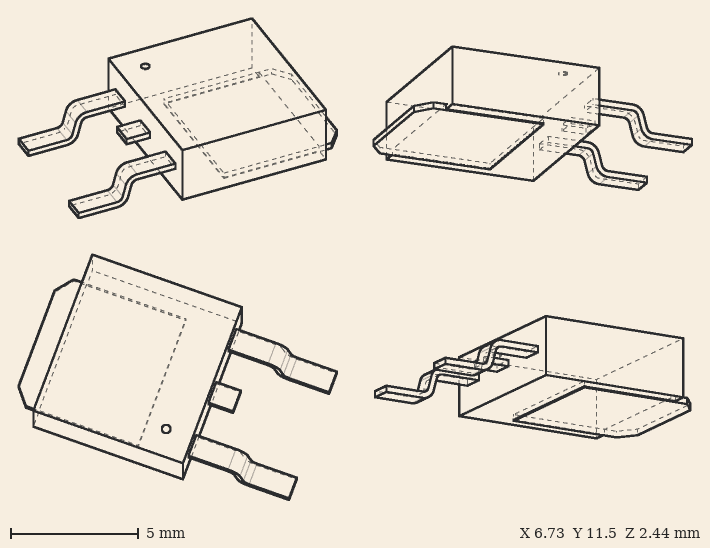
import cadquery as cq
import math

housing_width = 6.73
housing_length = 6.22
housing_height = 2.40
front_y = -housing_length / 2
back_y = housing_length / 2

metal_thickness = 0.254
lead_width = 0.89
lead_spacing = 4.57
lead_centres = (-lead_spacing / 2, lead_spacing / 2)

lead_reach = 4.18
shank_length = 1.65
lead_drop = 1.08
riser_angle = math.radians(75)
inner_bend_radius = metal_thickness
outer_bend_radius = inner_bend_radius + metal_thickness

stub_reach = 1.02

tab_width = lead_spacing + lead_width
tab_length = 5.21
tab_overhang = 1.09
tab_standoff = 0.04
tab_corner_x = 0.68
tab_corner_y = 0.55

marker_diameter = 0.34
marker_depth = 0.05
marker_from_front = 1.09


def make_tab():
    tab_back_y = back_y + tab_overhang
    return (
        cq.Workplane("XY", origin=(0, 0, -tab_standoff))
        .moveTo(-tab_width / 2, tab_back_y - tab_length)
        .lineTo(tab_width / 2, tab_back_y - tab_length)
        .lineTo(tab_width / 2, tab_back_y - tab_corner_y)
        .lineTo(tab_width / 2 - tab_corner_x, tab_back_y)
        .lineTo(-tab_width / 2 + tab_corner_x, tab_back_y)
        .lineTo(-tab_width / 2, tab_back_y - tab_corner_y)
        .close()
        .extrude(metal_thickness)
    )


def make_marker():
    return (
        cq.Workplane("XY", origin=(lead_centres[0], front_y + marker_from_front, housing_height))
        .circle(marker_diameter / 2)
        .extrude(-marker_depth)
    )


def make_housing(tab, marker):
    block = cq.Workplane("XY").box(
        housing_width, housing_length, housing_height, centered=(True, True, False)
    )
    return block.cut(tab).cut(marker)


def make_lead(centre_x):
    foot_top = metal_thickness
    shank_bottom = lead_drop
    shank_top = shank_bottom + metal_thickness
    bend_radii = inner_bend_radius + outer_bend_radius
    riser_rise = lead_drop - bend_radii * (1 - math.cos(riser_angle))
    bend_span = bend_radii * math.sin(riser_angle) + riser_rise / math.tan(riser_angle)

    upper_bend = (front_y - shank_length, shank_bottom - inner_bend_radius)
    lower_bend = (upper_bend[0] - bend_span, foot_top + inner_bend_radius)
    toe_y = front_y - lead_reach

    def upper_point(radius, angle):
        return (upper_bend[0] - radius * math.sin(angle), upper_bend[1] + radius * math.cos(angle))

    def lower_point(radius, angle):
        return (lower_bend[0] + radius * math.sin(angle), lower_bend[1] - radius * math.cos(angle))

    half_angle = riser_angle / 2
    return (
        cq.Workplane("YZ", origin=(centre_x, 0, 0))
        .moveTo(front_y, shank_top)
        .lineTo(upper_bend[0], shank_top)
        .threePointArc(
            upper_point(outer_bend_radius, half_angle), upper_point(outer_bend_radius, riser_angle)
        )
        .lineTo(*lower_point(inner_bend_radius, riser_angle))
        .threePointArc(lower_point(inner_bend_radius, half_angle), (lower_bend[0], foot_top))
        .lineTo(toe_y, foot_top)
        .lineTo(toe_y, 0)
        .lineTo(lower_bend[0], 0)
        .threePointArc(
            lower_point(outer_bend_radius, half_angle), lower_point(outer_bend_radius, riser_angle)
        )
        .lineTo(*upper_point(inner_bend_radius, riser_angle))
        .threePointArc(upper_point(inner_bend_radius, half_angle), (upper_bend[0], shank_bottom))
        .lineTo(front_y, shank_bottom)
        .close()
        .extrude(lead_width / 2, both=True)
    )


def make_stub():
    return cq.Workplane("XY", origin=(0, front_y - stub_reach, lead_drop)).box(
        lead_width, stub_reach, metal_thickness, centered=(True, False, False)
    )


tab = make_tab()
marker = make_marker()
housing = make_housing(tab, marker)
stub = make_stub()
leads = [make_lead(centre_x) for centre_x in lead_centres]

result = cq.Compound.makeCompound(
    [housing.val(), tab.val(), marker.val(), stub.val(), *[lead.val() for lead in leads]]
)